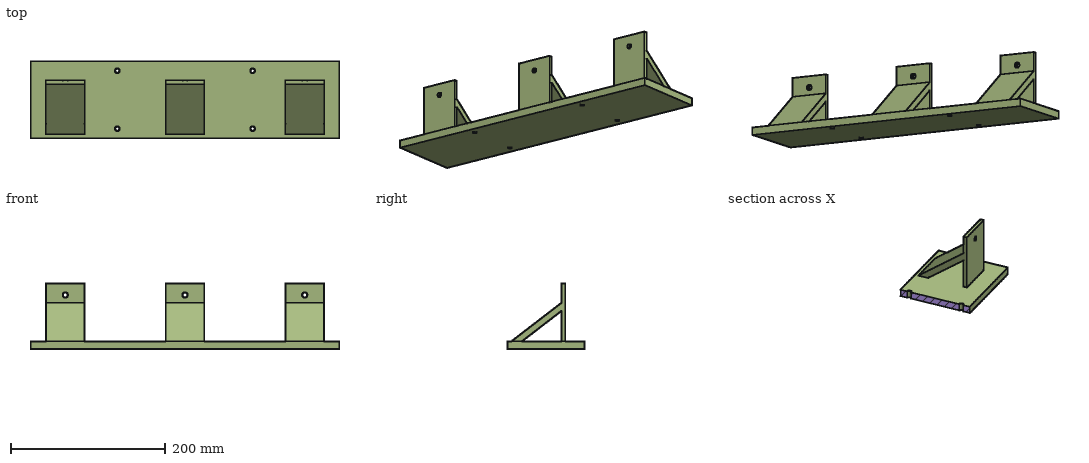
import cadquery as cq

plate_length = 400.0
plate_width = 100.0
plate_thickness = 10.0
plate_hole_diameter = 5.0
plate_hole_mouth_diameter = 6.5
plate_hole_edge_distance = plate_width / 8
plate_hole_pitch_x = 175.0

bracket_count = 3
bracket_width = plate_width / 2
bracket_end_margin = 20.0
bracket_pitch = (plate_length - 2 * bracket_end_margin - bracket_width) / (bracket_count - 1)
wall_height = 1.5 * bracket_width
wall_thickness = plate_thickness / 2
wall_back_y = plate_width / 4
wall_front_y = wall_back_y - wall_thickness
wall_hole_diameter = 6.0
wall_hole_mouth_diameter = 7.0
wall_hole_drop = 0.3 * bracket_width

brace_rise = bracket_width
brace_front_y = wall_thickness - plate_width / 2
brace_run = wall_front_y - brace_front_y
brace_wall_cut = 11.0
brace_foot_cut = brace_wall_cut * brace_run / brace_rise


def make_hole_cutter(diameter, mouth_diameter, depth):
    """Hole running down from Z = 0, with a 45 degree chamfer at its mouth."""
    radius = diameter / 2
    mouth_radius = mouth_diameter / 2
    return (
        cq.Workplane("XZ")
        .lineTo(mouth_radius, 0)
        .lineTo(radius, radius - mouth_radius)
        .lineTo(radius, -depth)
        .lineTo(0, -depth)
        .close()
        .revolve(360, (0, 0), (0, 1))
    )


def make_plate():
    """Base plate with its top face at Z = 0 and four chamfered through holes."""
    plate = cq.Workplane("XY").box(
        plate_length, plate_width, plate_thickness, centered=(True, True, False)
    ).translate((0, 0, -plate_thickness))
    cutter = make_hole_cutter(plate_hole_diameter, plate_hole_mouth_diameter, plate_thickness).val()
    hole_pitch_y = plate_width - 2 * plate_hole_edge_distance
    holes = (
        cq.Workplane("XY")
        .rect(plate_hole_pitch_x, hole_pitch_y, forConstruction=True)
        .vertices()
        .eachpoint(lambda location: cutter.moved(location))
    )
    return plate.cut(holes)


def make_bracket():
    """Upright wall with a chamfered hole and a sloping brace, centred on X = 0."""
    wall = cq.Workplane("XY").box(
        bracket_width, wall_thickness, wall_height, centered=(True, False, False)
    ).translate((0, wall_front_y, 0))
    brace = (
        cq.Workplane("YZ")
        .moveTo(brace_front_y, 0)
        .lineTo(wall_front_y, brace_rise)
        .lineTo(wall_front_y, brace_rise - brace_wall_cut)
        .lineTo(brace_front_y + brace_foot_cut, 0)
        .close()
        .extrude(bracket_width / 2, both=True)
    )
    hole = (
        make_hole_cutter(wall_hole_diameter, wall_hole_mouth_diameter, wall_thickness)
        .rotate((0, 0, 0), (1, 0, 0), 90)
        .translate((0, wall_front_y, wall_height - wall_hole_drop))
    )
    return wall.union(brace).cut(hole)


result = make_plate()
for index in range(bracket_count):
    bracket_x = (index - (bracket_count - 1) / 2) * bracket_pitch
    result = result.union(make_bracket().translate((bracket_x, 0, 0)))